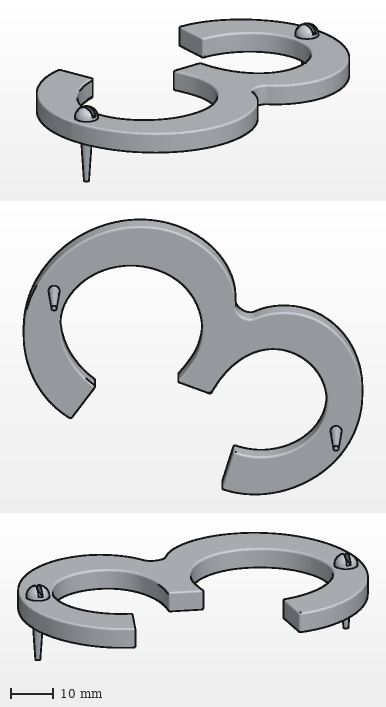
import cadquery as cq

plate_thickness = 5.0
edge_radius = 0.5
overall_width = 53.65
overall_height = 83.7
half_width = overall_width / 2
half_height = overall_height / 2

screw_offset = 37.7
screw_places = [-screw_offset, screw_offset]
head_radius = 2.8
slot_width = 1.0
slot_depth = 1.9
shank_radius = 1.3
tip_radius = 0.63
shank_projection = 10.9

upper_top = (-1.1, half_height)
upper_right = (22.8, 20.4)
upper_inner_top = (-0.7, 33.7)
upper_inner_right = (12.55, 20.5)
lower_bottom = (-0.9, -half_height)
lower_right = (half_width, -16.15)
lower_inner_bottom = (-0.9, -33.8)
lower_inner_right = (16.15, -16.15)
lower_inner_top = (0.0, -0.3)

upper_end_outer = (-25.8, 20.9)
upper_end_inner = (-16.0, 18.9)
bar_end_top = (-5.8, 7.3)
bar_end_bottom = (-6.8, -1.25)
lower_end_inner = (-16.8, -17.5)
lower_end_outer = (-26.9, -18.75)

stroke_corners = [
    upper_end_outer,
    upper_end_inner,
    bar_end_top,
    bar_end_bottom,
    lower_end_inner,
    lower_end_outer,
]

notch_top = (16.15, 7.3)
notch_bottom = (16.7, 1.8)
notch_crossing = (11.8, 4.1)

upper_outer_corner = (-23.2, half_height)
lower_outer_corner = (-25.3, -half_height)
lower_inner_corner = (-14.4, lower_inner_bottom[1])
bar_bottom_corner = (-2.9, lower_inner_top[1])
bar_top_corner = (upper_inner_right[0], 6.9)
upper_inner_corner = (-14.6, upper_inner_top[1])

quarter_fullness = 0.55
shoulder_fullness = 0.6
notch_fullness = 0.38


def toward(start, target, share):
    """Point part of the way from start to target."""
    return tuple(a + share * (b - a) for a, b in zip(start, target))


def bow(sketch, start, corner, end, fullness=quarter_fullness):
    """Add a curve from start to end whose end tangents cross at corner."""
    handles = [toward(start, corner, fullness), toward(end, corner, fullness)]
    return sketch.bezier([start, *handles, end])


def square_corner(x_point, y_point):
    """Corner with the X of the first point and the Y of the second."""
    return (x_point[0], y_point[1])


def notch_tangent_at(notch_end, side_point):
    """Point on the tangent at a notch end that has the X of side_point."""
    share = (side_point[0] - notch_crossing[0]) / (notch_end[0] - notch_crossing[0])
    return toward(notch_crossing, notch_end, share)


def make_outline():
    """Closed outline of the numeral, clockwise from the upper stroke end."""
    line = cq.Workplane("XY").moveTo(*upper_end_outer)
    line = bow(line, upper_end_outer, upper_outer_corner, upper_top)
    line = bow(line, upper_top, square_corner(upper_right, upper_top), upper_right)
    line = bow(
        line, upper_right, notch_tangent_at(notch_top, upper_right), notch_top, shoulder_fullness
    )
    line = bow(line, notch_top, notch_crossing, notch_bottom, notch_fullness)
    line = bow(
        line, notch_bottom, notch_tangent_at(notch_bottom, lower_right), lower_right, shoulder_fullness
    )
    line = bow(line, lower_right, square_corner(lower_right, lower_bottom), lower_bottom)
    line = bow(line, lower_bottom, lower_outer_corner, lower_end_outer)
    line = line.lineTo(*lower_end_inner)
    line = bow(line, lower_end_inner, lower_inner_corner, lower_inner_bottom)
    line = bow(
        line, lower_inner_bottom, square_corner(lower_inner_right, lower_inner_bottom), lower_inner_right
    )
    line = bow(
        line, lower_inner_right, square_corner(lower_inner_right, lower_inner_top), lower_inner_top
    )
    line = bow(line, lower_inner_top, bar_bottom_corner, bar_end_bottom)
    line = line.lineTo(*bar_end_top)
    line = bow(line, bar_end_top, bar_top_corner, upper_inner_right, shoulder_fullness)
    line = bow(
        line, upper_inner_right, square_corner(upper_inner_right, upper_inner_top), upper_inner_top
    )
    line = bow(line, upper_inner_top, upper_inner_corner, upper_end_inner)
    return line.close()


def make_plate():
    """Numeral 3 with all its edges rounded and a through hole for each screw."""
    plate = make_outline().extrude(plate_thickness)
    for corner in stroke_corners:
        corner_edge = cq.selectors.NearestToPointSelector((*corner, plate_thickness / 2))
        plate = plate.edges(corner_edge).fillet(edge_radius)
    plate = plate.faces("<Z or >Z").edges().fillet(edge_radius)
    holes = cq.Workplane("XY").pushPoints([(0, y) for y in screw_places])
    return plate.cut(holes.circle(shank_radius).extrude(plate_thickness))


def make_screw(y):
    """Slotted hemispherical head on a shank that tapers below the plate."""
    profile = (
        cq.Workplane("XZ")
        .moveTo(0, -shank_projection)
        .lineTo(tip_radius, -shank_projection)
        .lineTo(shank_radius, 0)
        .lineTo(shank_radius, plate_thickness)
        .lineTo(head_radius, plate_thickness)
        .radiusArc((0, plate_thickness + head_radius), -head_radius)
        .close()
    )
    screw = profile.revolve(360, (0, 0, 0), (0, 1, 0))
    slot = (
        cq.Workplane("XY", origin=(0, 0, plate_thickness + head_radius - slot_depth))
        .rect(2 * head_radius, slot_width)
        .extrude(slot_depth)
    )
    return screw.cut(slot).translate((0, y, 0))


plate = make_plate()
screws = [make_screw(y) for y in screw_places]

result = cq.Compound.makeCompound([plate.val(), *[screw.val() for screw in screws]])